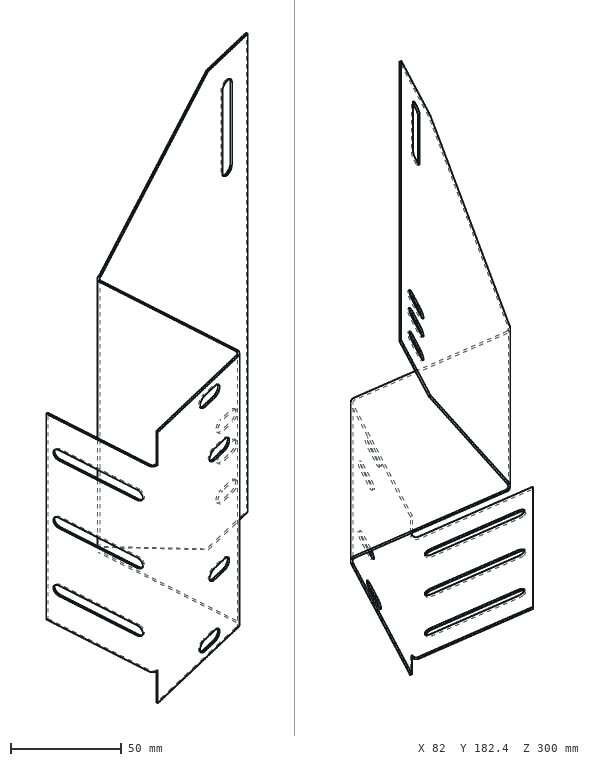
import cadquery as cq
import math

thickness = 1.0
inner_radius = 2.0
outer_radius = inner_radius + thickness

width = 82.0
depth = 182.37
height = 300.0

web_front_y = -115.85
web_rear_y = web_front_y + thickness
body_height = 170.0
lip_height = 129.0
lip_length = 60.5
wing_edge_length = 30.4
wing_bend_y = web_front_y + outer_radius
taper_end_y = -112.4
lip_bend_y = -depth + outer_radius

short_slot_length = 15.0
wall_slot_width = 7.2
wing_slot_y = -15.7
wing_slot_zs = (-80.8, -100.0, -125.0)
tall_slot_length = 59.2
tall_slot_z = 103.2
side_slot_centers = ((-139.6, 76.6), (-132.2, 37.5))
lip_slot_length = 50.2
lip_slot_width = 6.5
lip_slot_x = 50.6
lip_slot_pitch = 42.5


def box(x_range, y_range, z_height):
    """Box centred on Z = 0 between two X and two Y limits."""
    x_size = x_range[1] - x_range[0]
    y_size = y_range[1] - y_range[0]
    corner = (x_range[0], y_range[0], -z_height / 2)
    return cq.Workplane("XY").box(x_size, y_size, z_height, centered=False).translate(corner)


def bend(center_x, center_y, start_angle, z_height):
    """Quarter-turn sheet bend about a vertical axis, running 90 degrees from start_angle."""

    def arc_point(radius, sweep):
        angle = math.radians(start_angle + sweep)
        return center_x + radius * math.cos(angle), center_y + radius * math.sin(angle)

    return (
        cq.Workplane("XY")
        .moveTo(*arc_point(outer_radius, 0))
        .threePointArc(arc_point(outer_radius, 45), arc_point(outer_radius, 90))
        .lineTo(*arc_point(inner_radius, 90))
        .threePointArc(arc_point(inner_radius, 45), arc_point(inner_radius, 0))
        .close()
        .extrude(z_height)
        .translate((0, 0, -z_height / 2))
    )


def wing():
    """Flat plate at X = 0 that tapers from full height down to the body height."""
    half_height = height / 2
    half_body = body_height / 2
    outline = [
        (0, -half_height),
        (0, half_height),
        (-wing_edge_length, half_height),
        (taper_end_y, half_body),
        (wing_bend_y, half_body),
        (wing_bend_y, -half_body),
        (taper_end_y, -half_body),
        (-wing_edge_length, -half_height),
    ]
    return cq.Workplane("YZ").polyline(outline).close().extrude(thickness)


def body():
    """Web and side wall with the two bends that join them to the wing."""
    side_bend_x = width - outer_radius
    side_bend_y = web_rear_y - outer_radius
    web = box((outer_radius, side_bend_x), (web_front_y, web_rear_y), body_height)
    side_wall = box((width - thickness, width), (lip_bend_y, side_bend_y), body_height)
    wing_bend = bend(outer_radius, wing_bend_y, 180, body_height)
    side_bend = bend(side_bend_x, side_bend_y, 0, body_height)
    return web.union(side_wall).union(wing_bend).union(side_bend)


def lip():
    """Shorter front flange folded back toward the wing."""
    bend_x = width - outer_radius
    flange = box((width - lip_length, bend_x), (-depth, -depth + thickness), lip_height)
    return flange.union(bend(bend_x, lip_bend_y, 270, lip_height))


def slots_along_x(centers, length, slot_width, angle):
    """Slot cutters through a wall normal to X, placed at (Y, Z) centres."""
    return (
        cq.Workplane("YZ")
        .pushPoints(centers)
        .slot2D(length, slot_width, angle)
        .extrude(2 * thickness, both=True)
    )


def wing_slots():
    """One tall slot near the top and three short slots near the bottom of the wing."""
    short_centers = [(wing_slot_y, z) for z in wing_slot_zs]
    short_slots = slots_along_x(short_centers, short_slot_length, wall_slot_width, 0)
    tall_slot = slots_along_x([(wing_slot_y, tall_slot_z)], tall_slot_length, wall_slot_width, 90)
    return short_slots.union(tall_slot)


def side_wall_slots():
    """Two short slots mirrored above and below the middle of the side wall."""
    centers = [(y, sign * z) for y, z in side_slot_centers for sign in (1, -1)]
    cutters = slots_along_x(centers, short_slot_length, wall_slot_width, 0)
    return cutters.translate((width, 0, 0))


def lip_slots():
    """Three horizontal slots through the lip."""
    centers = [(lip_slot_x, row * lip_slot_pitch) for row in (-1, 0, 1)]
    return (
        cq.Workplane("XZ", origin=(0, -depth, 0))
        .pushPoints(centers)
        .slot2D(lip_slot_length, lip_slot_width)
        .extrude(2 * thickness, both=True)
    )


sheet = wing().union(body()).union(lip())
result = sheet.cut(wing_slots()).cut(side_wall_slots()).cut(lip_slots())